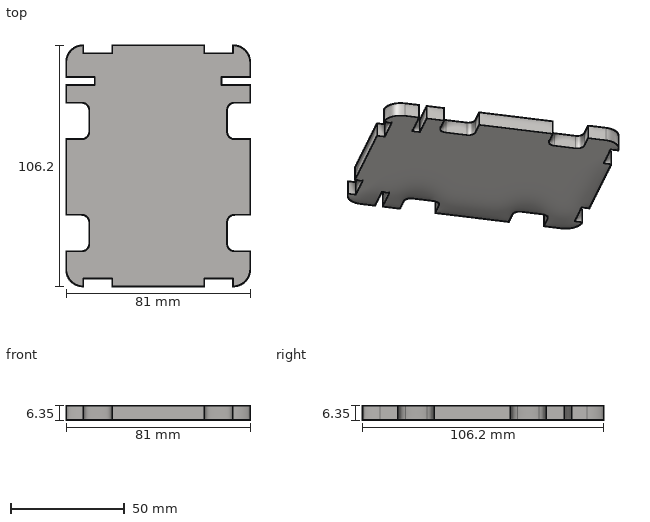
import cadquery as cq

width = 81.03
length = 106.16
thickness = 6.35
corner_radius = 7.62

end_notch_width = 12.6
end_notch_depth = 3.5

slot_depth = 12.6
slot_width = 3.4
slot_from_top = 14.1

pocket_depth = 10.16
pocket_width = 15.875
pocket_radius = 3.175
upper_pocket_from_top = 25.4
lower_pocket_from_bottom = 15.6

top_y = length / 2
bottom_y = -length / 2
side_x = width / 2


def box_cutter(size_x, size_y, center_x, center_y):
    """Rectangular cutter through the full plate thickness."""
    return (
        cq.Workplane("XY")
        .center(center_x, center_y)
        .rect(size_x, size_y)
        .extrude(thickness)
    )


def end_notch(side, end):
    """Notch at one end (+1 top, -1 bottom), on one side (+1 right, -1 left)."""
    center_x = side * (side_x - corner_radius - end_notch_width / 2)
    center_y = end * (top_y - end_notch_depth / 2)
    return box_cutter(end_notch_width, end_notch_depth, center_x, center_y)


def side_slot(side):
    """Narrow slot running inward from one long side."""
    center_x = side * (side_x - slot_depth / 2)
    center_y = top_y - slot_from_top - slot_width / 2
    return box_cutter(slot_depth, slot_width, center_x, center_y)


def side_pocket(side, center_y):
    """Pocket with rounded inner corners; the cutter is centred on the side face."""
    cutter = box_cutter(2 * pocket_depth, pocket_width, side * side_x, center_y)
    return cutter.edges("|Z").fillet(pocket_radius)


plate = cq.Workplane("XY").rect(width, length).extrude(thickness)
plate = plate.edges("|Z").fillet(corner_radius)

pocket_centers_y = (
    top_y - upper_pocket_from_top - pocket_width / 2,
    bottom_y + lower_pocket_from_bottom + pocket_width / 2,
)

for side in (-1, 1):
    plate = plate.cut(side_slot(side))
    for end in (-1, 1):
        plate = plate.cut(end_notch(side, end))
    for pocket_center_y in pocket_centers_y:
        plate = plate.cut(side_pocket(side, pocket_center_y))

result = plate